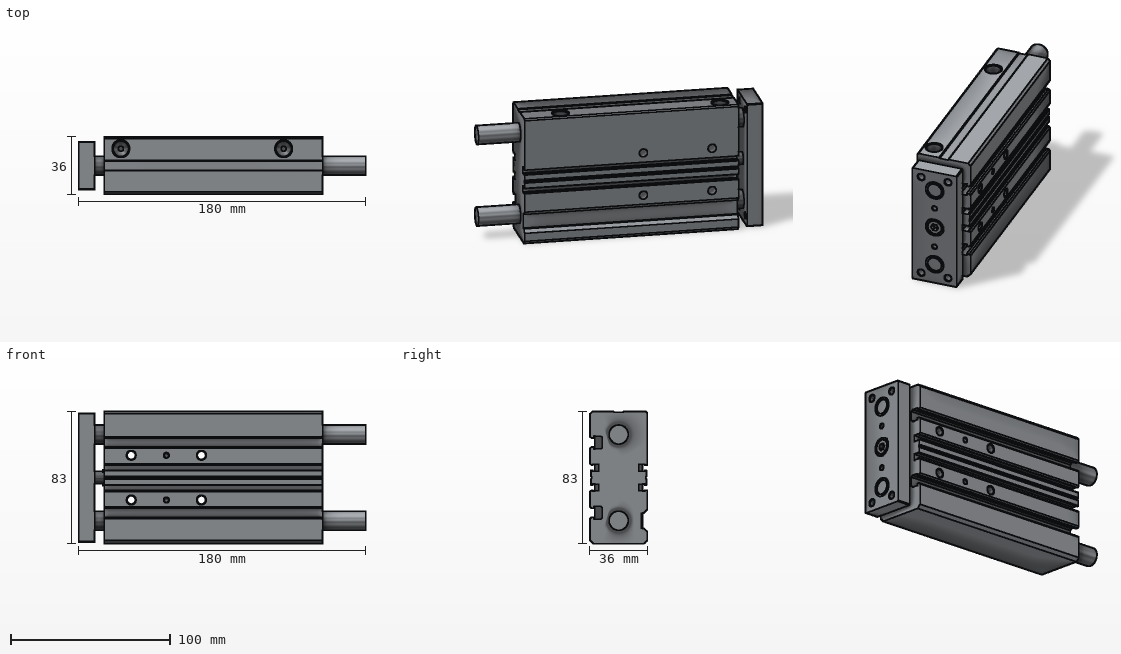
import cadquery as cq
import math

plate_thickness = 10
rod_gap = 6
stroke = 100
body_allowance = 37
housing_length = body_allowance + stroke
guide_rod_overhang = 27
housing_front = plate_thickness + rod_gap
housing_back = housing_front + housing_length
guide_rod_length = housing_back + guide_rod_overhang

housing_width = 36
housing_height = 83
front_top_chamfer = 1.6
rear_top_chamfer = 1.0
bottom_chamfer = 2.2
face_y = housing_width / 2
face_z = housing_height / 2

t_slot_z = 22
t_slot_opening = 5.4
t_slot_width = 8.0
t_slot_lip = 2.6
t_slot_depth = 7.8
t_slot_floor_chamfer = 1.0
t_slot_edge_chamfer = 1.0

sensor_slot_z = 6.25
sensor_slot_opening = 3.2
sensor_slot_width = 4.2
sensor_slot_lip = 1.6
sensor_slot_depth = 5.5
sensor_edge_chamfer = 1.0
land_recess = 0.5
land_groove_width = 1.9
land_groove_depth = 0.5
land_corner_chamfer = 0.3

flared_slot_width = 9.6
flared_slot_flare = 2.2
flared_slot_depth = 4.0

top_groove_width = 6.5
top_groove_depth = 0.5

port_y = 10.6
port_distances = (10.5, 112.5)
port_diameter = 9.7
port_rim_diameter = 11
port_depth = 8
port_feed_diameter = 3.2
port_feed_depth = 4
drill_tip_angle = 118

mount_z = 14
mount_start = 17
mount_spacing = 44
mount_hole_diameter = 5.2
mount_rim_diameter = 6
dowel_diameter = 3
dowel_rim_diameter = 3.5
dowel_depth = 5

guide_rod_diameter = 12
guide_rod_z = 27
rod_spigot_diameter = 9.3
guide_rod_ring_depth = 0.4
piston_rod_diameter = 8
piston_rod_end = housing_front + housing_length / 2
piston_head_diameter = 12
piston_head_length = 5
piston_head_ring_depth = 1
hex_socket_flats = 4.2
hex_socket_depth = 3
collar_diameter = 10
collar_length = 1
collar_flats = 4

plate_width = 30
plate_height = 81
plate_chamfer = 0.5
plate_bolt_spacing_y = 18
plate_bolt_spacing_z = 70
plate_bolt_diameter = 4.2
plate_bolt_rim_diameter = 5


def section(points):
    """Extrude a Y-Z outline along the whole housing."""
    plane = cq.Workplane("YZ", origin=(housing_front, 0, 0))
    return plane.polyline(points).close().extrude(housing_length)


def section_box(y_low, y_high, z_low, z_high):
    return section([(y_low, z_low), (y_high, z_low), (y_high, z_high), (y_low, z_high)])


def cylinder(diameter, start, length, direction):
    solid = cq.Solid.makeCylinder(diameter / 2, length, cq.Vector(*start), cq.Vector(*direction))
    return cq.Workplane(solid)


def cone(diameter, end_diameter, start, direction, length):
    start_radius = diameter / 2
    end_radius = end_diameter / 2
    solid = cq.Solid.makeCone(start_radius, end_radius, length, cq.Vector(*start), cq.Vector(*direction))
    return cq.Workplane(solid)


def tip_length(diameter):
    """Length of the conical end that a drill leaves."""
    return diameter / 2 / math.tan(math.radians(drill_tip_angle / 2))


def drilled_hole(diameter, rim_diameter, depth, start, direction, has_tip):
    """Cutter for a hole with a 45 degree rim chamfer, optionally ending in a drill tip."""
    cutter = cylinder(diameter, start, depth, direction)
    rim_depth = (rim_diameter - diameter) / 2
    cutter = cutter.union(cone(rim_diameter, diameter, start, direction, rim_depth))
    if has_tip:
        tip_start = [s + d * depth for s, d in zip(start, direction)]
        cutter = cutter.union(cone(diameter, 0, tip_start, direction, tip_length(diameter)))
    return cutter


def housing_blank():
    return section([
        (-face_y + bottom_chamfer, -face_z),
        (face_y - bottom_chamfer, -face_z),
        (face_y, -face_z + bottom_chamfer),
        (face_y, face_z - rear_top_chamfer),
        (face_y - rear_top_chamfer, face_z),
        (-face_y + front_top_chamfer, face_z),
        (-face_y, face_z - front_top_chamfer),
        (-face_y, -face_z + bottom_chamfer),
    ])


def t_slot(z):
    half_opening = t_slot_opening / 2
    half_width = t_slot_width / 2
    half_mouth = half_opening + t_slot_edge_chamfer
    half_profile = [
        (-face_y, half_mouth),
        (-face_y + t_slot_edge_chamfer, half_opening),
        (-face_y + t_slot_lip, half_opening),
        (-face_y + t_slot_lip, half_width),
        (-face_y + t_slot_depth - t_slot_floor_chamfer, half_width),
        (-face_y + t_slot_depth, half_width - t_slot_floor_chamfer),
    ]
    upper = [(y, z + h) for y, h in half_profile]
    lower = [(y, z - h) for y, h in reversed(half_profile)]
    return section(upper + lower)


def sensor_slot(side, z):
    """Undercut slot in the face at side * face_y."""
    half_opening = sensor_slot_opening / 2
    half_width = sensor_slot_width / 2
    lip_y = face_y - sensor_slot_lip
    floor_y = face_y - sensor_slot_depth
    neck = section_box(side * lip_y, side * face_y, z - half_opening, z + half_opening)
    chamber = section_box(side * floor_y, side * lip_y, z - half_width, z + half_width)
    return neck.union(chamber)


def sensor_edge_relief(side_z):
    """Chamfer on the front outer edge of one sensor slot."""
    edge_z = side_z * (sensor_slot_z + sensor_slot_opening / 2)
    return section([
        (-face_y, edge_z),
        (-face_y + sensor_edge_chamfer, edge_z),
        (-face_y, edge_z + side_z * sensor_edge_chamfer),
    ])


def land_relief(side):
    """Recess of the centre land, its corner chamfers and the shallow groove along its middle."""
    land_y = face_y - land_recess
    groove_floor_y = land_y - land_groove_depth
    half_width = land_groove_width / 2
    recess = section_box(side * land_y, side * face_y, -sensor_slot_z, sensor_slot_z)
    groove = section([
        (side * land_y, half_width),
        (side * groove_floor_y, half_width - land_groove_depth),
        (side * groove_floor_y, -half_width + land_groove_depth),
        (side * land_y, -half_width),
    ])
    relief = recess.union(groove)
    corner_z = sensor_slot_z - sensor_slot_opening / 2
    for side_z in (-1, 1):
        relief = relief.union(section([
            (side * land_y, side_z * corner_z),
            (side * (land_y - land_corner_chamfer), side_z * corner_z),
            (side * land_y, side_z * (corner_z - land_corner_chamfer)),
        ]))
    return relief


def flared_slot():
    half_width = flared_slot_width / 2
    half_mouth = half_width + flared_slot_flare
    flare_y = face_y - flared_slot_flare
    floor_y = face_y - flared_slot_depth
    half_profile = [(face_y, half_mouth), (flare_y, half_width), (floor_y, half_width)]
    upper = [(y, -guide_rod_z + h) for y, h in half_profile]
    lower = [(y, -guide_rod_z - h) for y, h in reversed(half_profile)]
    return section(upper + lower)


def top_groove():
    half_width = top_groove_width / 2
    return section([
        (-half_width, face_z),
        (-half_width + top_groove_depth, face_z - top_groove_depth),
        (half_width - top_groove_depth, face_z - top_groove_depth),
        (half_width, face_z),
    ])


def air_port(distance):
    start = (housing_front + distance, port_y, face_z)
    down = (0, 0, -1)
    port = drilled_hole(port_diameter, port_rim_diameter, port_depth, start, down, True)
    feed_length = port_depth + tip_length(port_diameter) + port_feed_depth
    return port.union(cylinder(port_feed_diameter, start, feed_length, down))


def housing_holes():
    """Cutters for the through mounting holes and the dowel holes between them."""
    inward = (0, 1, 0)
    cutters = []
    for z in (-mount_z, mount_z):
        for distance in (mount_start, mount_start + mount_spacing):
            start = (housing_front + distance, -face_y, z)
            cutters.append(
                drilled_hole(mount_hole_diameter, mount_rim_diameter, housing_width, start, inward, False)
            )
        dowel_start = (housing_front + mount_start + mount_spacing / 2, -face_y, z)
        cutters.append(
            drilled_hole(dowel_diameter, dowel_rim_diameter, dowel_depth, dowel_start, inward, True)
        )
    return cutters


def end_ring(diameter, depth, z):
    """Cutter that turns a rod end down to the spigot diameter."""
    spigot = cylinder(rod_spigot_diameter, (0, 0, z), depth, (1, 0, 0))
    return cylinder(diameter, (0, 0, z), depth, (1, 0, 0)).cut(spigot)


def make_guide_rod(z):
    rod = cylinder(guide_rod_diameter, (0, 0, z), guide_rod_length, (1, 0, 0))
    return rod.cut(end_ring(guide_rod_diameter, guide_rod_ring_depth, z))


def make_piston_rod():
    """Piston rod with its socket head sunk flush into the tool plate."""
    shank = cylinder(piston_rod_diameter, (0, 0, 0), piston_rod_end, (1, 0, 0))
    head = cylinder(piston_head_diameter, (0, 0, 0), piston_head_length, (1, 0, 0))
    head = head.cut(end_ring(piston_head_diameter, piston_head_ring_depth, 0))
    hex_corners = hex_socket_flats / math.cos(math.pi / 6)
    socket = cq.Workplane("YZ").polygon(6, hex_corners).extrude(hex_socket_depth)
    return shank.union(head).cut(socket)


def make_tool_plate():
    plate = cq.Workplane("XY").box(plate_thickness, plate_width, plate_height)
    plate = plate.translate((plate_thickness / 2, 0, 0)).edges("|X").chamfer(plate_chamfer)
    inward = (1, 0, 0)
    for z in (-guide_rod_z, guide_rod_z):
        plate = plate.cut(cylinder(guide_rod_diameter, (0, 0, z), plate_thickness, inward))
    plate = plate.cut(cylinder(piston_head_diameter, (0, 0, 0), piston_head_length, inward))
    plate = plate.cut(cylinder(piston_rod_diameter, (0, 0, 0), plate_thickness, inward))
    for z in (-plate_bolt_spacing_z / 2, plate_bolt_spacing_z / 2):
        for y in (-plate_bolt_spacing_y / 2, plate_bolt_spacing_y / 2):
            plate = plate.cut(drilled_hole(
                plate_bolt_diameter, plate_bolt_rim_diameter, plate_thickness, (0, y, z), inward, False
            ))
    for z in (-mount_z, mount_z):
        plate = plate.cut(
            drilled_hole(dowel_diameter, dowel_rim_diameter, dowel_depth, (0, 0, z), inward, True)
        )
    return plate


def make_housing():
    body = housing_blank()
    for z in (-t_slot_z, t_slot_z):
        body = body.cut(t_slot(z))
    for side in (-1, 1):
        body = body.cut(land_relief(side))
        body = body.cut(sensor_edge_relief(side))
        for z in (-sensor_slot_z, sensor_slot_z):
            body = body.cut(sensor_slot(side, z))
    body = body.cut(flared_slot()).cut(top_groove())
    for distance in port_distances:
        body = body.cut(air_port(distance))
    for cutter in housing_holes():
        body = body.cut(cutter)
    collar_start = (housing_front - collar_length, 0, 0)
    collar = cylinder(collar_diameter, collar_start, 2 * collar_length, (1, 0, 0))
    flats = cq.Workplane("XY").box(housing_back, collar_flats, collar_diameter)
    flats = flats.translate((housing_back / 2, 0, 0))
    body = body.union(collar.intersect(flats))
    body = body.cut(cylinder(piston_rod_diameter, (0, 0, 0), piston_rod_end, (1, 0, 0)))
    for z in (-guide_rod_z, guide_rod_z):
        body = body.cut(cylinder(guide_rod_diameter, (0, 0, z), guide_rod_length, (1, 0, 0)))
    return body


housing = make_housing()
tool_plate = make_tool_plate()
piston_rod = make_piston_rod()
guide_rods = [make_guide_rod(z) for z in (-guide_rod_z, guide_rod_z)]

result = cq.Compound.makeCompound([
    housing.val(),
    tool_plate.val(),
    piston_rod.val(),
    *[rod.val() for rod in guide_rods],
])